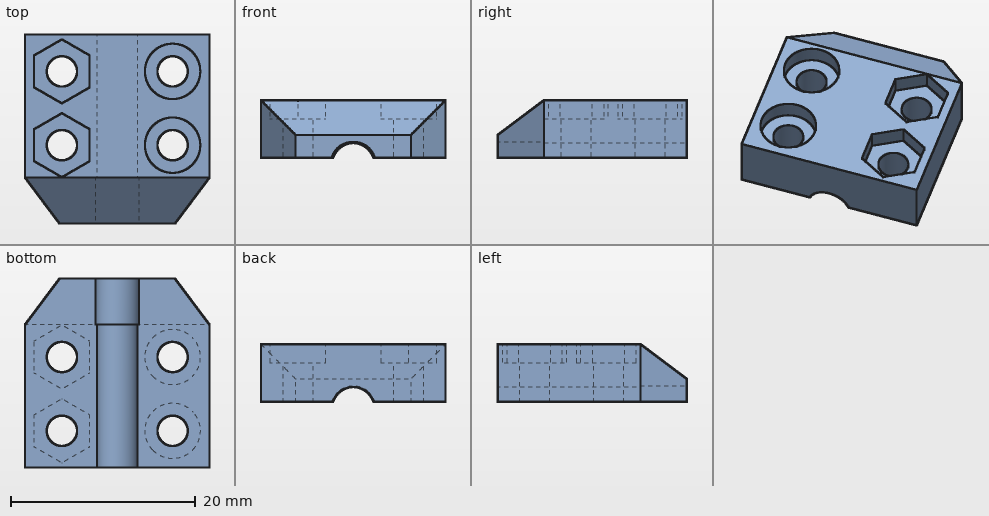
import cadquery as cq

WIDTH = 20.0
LENGTH = 20.5
HEIGHT = 6.25
NOSE_LENGTH = 5.0
NOSE_WIDTH = 12.5
NOSE_HEIGHT = 2.5

SCREW_SPACING_X = 12.0
SCREW_SPACING_Y = 8.0
SCREW_BACK_MARGIN = 4.0
HOLE_DIAMETER = 3.25
HEAD_DIAMETER = 6.0
NUT_ACROSS_FLATS = 6.0
POCKET_DEPTH = 2.0

CHANNEL_FRONT_RADIUS = 2.44
CHANNEL_BACK_RADIUS = 2.3
CHANNEL_AXIS_DROP = 0.7

FRONT_Y = -LENGTH / 2
BACK_Y = LENGTH / 2
NOSE_START_Y = FRONT_Y + NOSE_LENGTH


def make_body():
    """Block whose nose narrows on both sides and slopes down from the top."""
    plan = (
        cq.Workplane("XY")
        .polyline([
            (-WIDTH / 2, BACK_Y),
            (-WIDTH / 2, NOSE_START_Y),
            (-NOSE_WIDTH / 2, FRONT_Y),
            (NOSE_WIDTH / 2, FRONT_Y),
            (WIDTH / 2, NOSE_START_Y),
            (WIDTH / 2, BACK_Y),
        ])
        .close()
        .extrude(HEIGHT)
    )
    side_profile = (
        cq.Workplane("YZ")
        .polyline([
            (FRONT_Y, 0),
            (BACK_Y, 0),
            (BACK_Y, HEIGHT),
            (NOSE_START_Y, HEIGHT),
            (FRONT_Y, NOSE_HEIGHT),
        ])
        .close()
        .extrude(WIDTH / 2, both=True)
    )
    return plan.intersect(side_profile)


def make_hex_prism(across_flats, depth):
    """Upright hexagonal prism with two flats facing -X and +X."""
    slab = cq.Workplane("XY").rect(across_flats, 2 * across_flats).extrude(depth)
    prism = slab
    for angle in (60, 120):
        prism = prism.intersect(slab.rotate((0, 0, 0), (0, 0, 1), angle))
    return prism


def make_channel():
    """Full-length round channel, stepping down in radius where the nose meets the block."""
    front = cq.Workplane("XZ", origin=(0, FRONT_Y, -CHANNEL_AXIS_DROP))
    nose_bore = front.circle(CHANNEL_FRONT_RADIUS).extrude(-NOSE_LENGTH)
    through_bore = front.circle(CHANNEL_BACK_RADIUS).extrude(-LENGTH)
    return nose_bore.union(through_bore)


nut_pocket = make_hex_prism(NUT_ACROSS_FLATS, POCKET_DEPTH)
head_pocket = cq.Workplane("XY").circle(HEAD_DIAMETER / 2).extrude(POCKET_DEPTH)
screw_hole = cq.Workplane("XY").circle(HOLE_DIAMETER / 2).extrude(HEIGHT)

result = make_body().cut(make_channel())
for row in range(2):
    y = BACK_Y - SCREW_BACK_MARGIN - row * SCREW_SPACING_Y
    for x, pocket in ((-SCREW_SPACING_X / 2, nut_pocket), (SCREW_SPACING_X / 2, head_pocket)):
        result = result.cut(screw_hole.translate((x, y, 0)))
        result = result.cut(pocket.translate((x, y, HEIGHT - POCKET_DEPTH)))